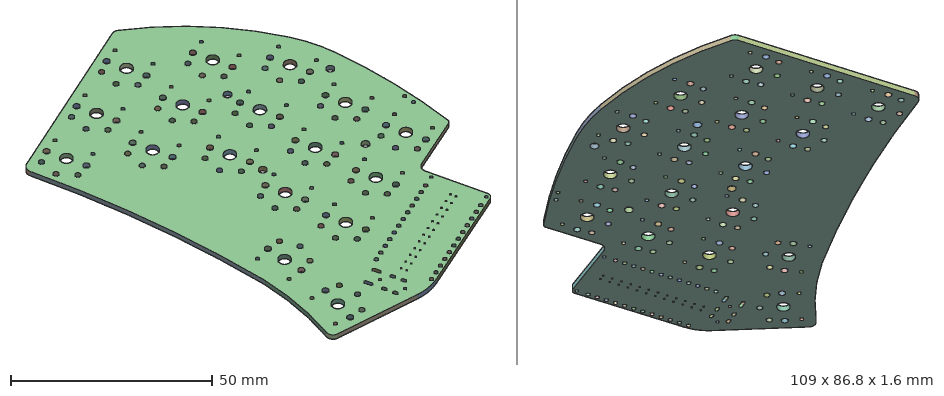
import cadquery as cq

thickness = 1.6
right_x = 54.5

left_top = (-54.5, 25.6)
apex = (-7.6, 43.8)
wing_top = (34.0, 34.6)
notch = (34.0, 16.9)
tab_top = (right_x, 16.9)
tab_bottom = (right_x, -18.3)
thumb_tip = (39.5, -44.1)
palm_joint = (16.1, -33.9)
left_bottom = (-54.2, -26.4)

left_arch_mid = (-27.2, 39.7)
right_arch_mid = (13.1, 40.8)
thumb_arc_mid = (27.2, -37.6)
palm_arc_mid = (-18.5, -28.2)

corner_radius = 2.0
wing_radius = 1.0
tab_radius = 1.3
elbow_radius = 13.8
apex_radius = 43.6

column_pitch = 18.0
row_pitch = 17.0
rows_per_column = 3
first_column_x = -46.1
column_top_y = [15.6, 27.6, 34.5, 29.1, 26.6]
thumb_switches = [(17.7, -25.4, 165.0), (36.2, -33.1, 150.0)]

stem_diameter = 3.4
post_diameter = 1.7
post_span = 11.0
pin_diameter = 1.5
centre_pin_y = -5.9
side_pin_span = 10.0
side_pin_y = -3.8
diode_diameter = 0.99
diode_span = 10.5
diode_y = 4.2

screw_diameter = 2.2
screw_circle_radius = 19.1
screw_centre = (-0.5, 18.6)
screw_count = 4

header_rows = 12
header_length = 27.9
header_pitch = header_length / (header_rows - 1)
header_bottom_y = -15.4
header_x = 38.1
header_spacing = 15.3
header_diameter = 1.1
via_x = 45.0
via_spacing = 1.5
via_diameter = 0.4
locator_y = 15.7
locator_diameter = 0.82

jack_y = -21.1
jack_row_spacing = 4.7
jack_slot_width = 0.9
jack_slots = [(39.9, 2.4), (44.3, 1.4), (47.4, 1.4)]
jack_peg_x = 42.0
jack_peg_spacing = 7.0
jack_peg_diameter = 0.8

wire_holes = [(20.2, 37.5), (23.0, 36.6)]
wire_diameter = 0.99


def round_corner(board, corner, radius):
    """Round the upright edge standing at an outline corner."""
    edge = cq.selectors.NearestToPointSelector((corner[0], corner[1], thickness / 2))
    return board.edges("|Z").edges(edge).fillet(radius)


def make_board():
    board = (
        cq.Workplane("XY")
        .moveTo(*left_top)
        .threePointArc(left_arch_mid, apex)
        .threePointArc(right_arch_mid, wing_top)
        .lineTo(*notch)
        .lineTo(*tab_top)
        .lineTo(*tab_bottom)
        .lineTo(*thumb_tip)
        .threePointArc(thumb_arc_mid, palm_joint)
        .threePointArc(palm_arc_mid, left_bottom)
        .close()
        .extrude(thickness)
    )
    for corner in (left_top, notch, thumb_tip, left_bottom):
        board = round_corner(board, corner, corner_radius)
    board = round_corner(board, apex, apex_radius)
    board = round_corner(board, wing_top, wing_radius)
    board = round_corner(board, tab_top, tab_radius)
    return round_corner(board, tab_bottom, elbow_radius)


def round_cutters(points, diameter):
    """Cylinders through the board thickness, one at each point."""
    return cq.Workplane("XY").pushPoints(points).circle(diameter / 2).extrude(thickness).vals()


def switch_cutters(x, y, turn=0.0):
    """All holes of one key switch, turned about its centre and moved to (x, y)."""
    side_pins = [(-side_pin_span / 2, side_pin_y), (side_pin_span / 2, side_pin_y)]
    cutters = round_cutters([(0, 0)], stem_diameter)
    cutters += round_cutters([(-post_span / 2, 0), (post_span / 2, 0)], post_diameter)
    cutters += round_cutters([(0, centre_pin_y)] + side_pins, pin_diameter)
    cutters += round_cutters([(-diode_span / 2, diode_y), (diode_span / 2, diode_y)], diode_diameter)
    place = cq.Location(cq.Vector(x, y, 0), cq.Vector(0, 0, 1), turn)
    return [cutter.moved(place) for cutter in cutters]


def all_switch_cutters():
    cutters = []
    for column, top_y in enumerate(column_top_y):
        for row in range(rows_per_column):
            cutters += switch_cutters(first_column_x + column * column_pitch, top_y - row * row_pitch)
    for x, y, turn in thumb_switches:
        cutters += switch_cutters(x, y, turn)
    return cutters


def screw_cutters():
    return (
        cq.Workplane("XY")
        .center(*screw_centre)
        .polarArray(screw_circle_radius, 0, 360, screw_count)
        .circle(screw_diameter / 2)
        .extrude(thickness)
        .vals()
    )


def controller_cutters():
    row_heights = [header_bottom_y + row * header_pitch for row in range(header_rows)]
    header_columns = (header_x, header_x + header_spacing)
    via_columns = (via_x, via_x + via_spacing)
    cutters = round_cutters([(x, y) for x in header_columns for y in row_heights], header_diameter)
    cutters += round_cutters([(x, y) for x in via_columns for y in row_heights], via_diameter)
    cutters += round_cutters([(x, locator_y) for x in header_columns], locator_diameter)
    return cutters


def jack_cutters():
    pegs = [(jack_peg_x, jack_y), (jack_peg_x + jack_peg_spacing, jack_y)]
    cutters = round_cutters(pegs, jack_peg_diameter)
    slot_rows = (jack_y + jack_row_spacing / 2, jack_y - jack_row_spacing / 2)
    for x, length in jack_slots:
        slots = cq.Workplane("XY").pushPoints([(x, y) for y in slot_rows])
        cutters += slots.slot2D(length, jack_slot_width).extrude(thickness).vals()
    return cutters


holes = all_switch_cutters() + screw_cutters() + controller_cutters() + jack_cutters()
holes += round_cutters(wire_holes, wire_diameter)
result = cq.Workplane("XY").newObject([make_board().val().cut(*holes)])